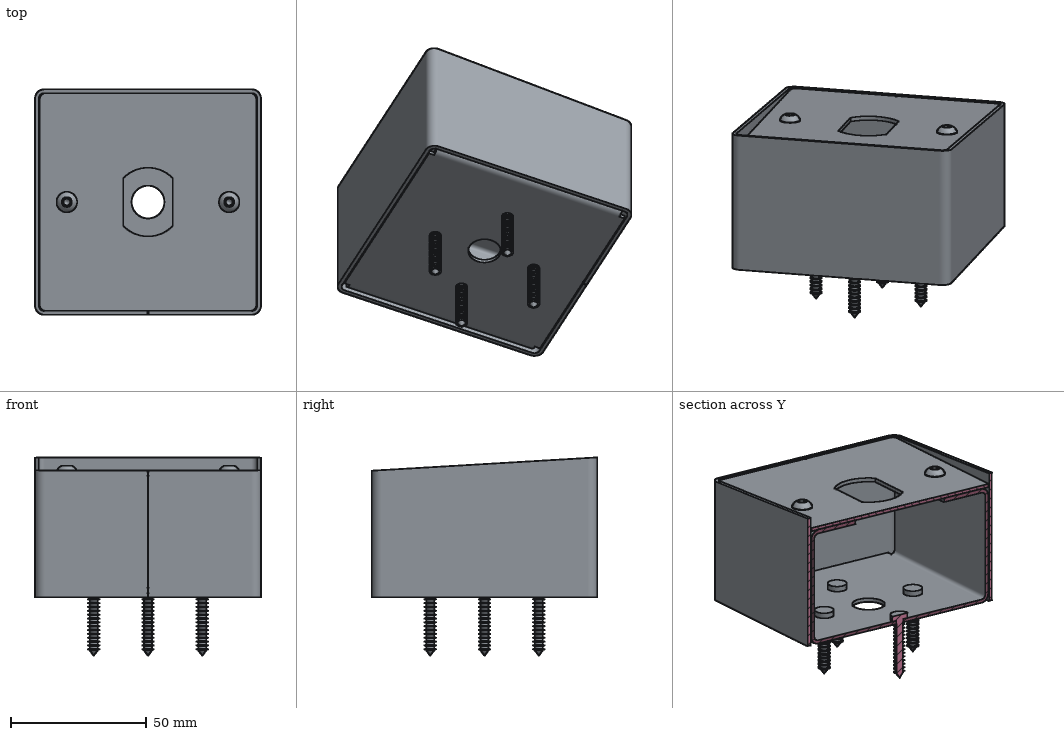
import cadquery as cq
import math

sheet = 1.5

sleeve_x = 83.5
sleeve_y = 83.3
sleeve_radius = 3.5
rear_height = 51.7
front_height = 46.8
seam_gap = 0.3

plate_x = 80.0
plate_top = 46.4
opening_width = 18.4
opening_diameter = 25.4

wall_length = 75.5
floor_length = 79.7
bend_radius = 1.5
cable_hole_diameter = 12.0

button_offset = 30.0
button_diameter = 7.6
button_height = 2.2
button_edge = 0.25
button_flat_diameter = 3.7
button_shank_diameter = 4.0
button_shank_length = 6.0
socket_width = 2.5
socket_depth = 1.0
socket_cone_depth = 0.7

wood_offset = 20.0
wood_core_diameter = 3.0
wood_thread_diameter = 4.35
wood_length = 21.6
wood_point_length = 2.1
wood_head_diameter = 7.0
wood_head_height = 2.0
thread_count = 14
thread_pitch = 1.4
thread_start = 0.75
thread_width = 0.5

inside_x = sleeve_x - 2 * sheet
inside_y = sleeve_y - 2 * sheet
inside_radius = sleeve_radius - sheet
plate_y = inside_y
plate_bottom = plate_top - sheet
bracket_x = plate_x
bracket_height = plate_bottom
outer_bend_radius = bend_radius + sheet
floor_width = bracket_x - 2 * outer_bend_radius
flange_length = 2 * (bracket_x / 2 - button_offset)
button_places = [(-button_offset, 0), (button_offset, 0)]
wood_places = [(wood_offset, 0), (0, wood_offset), (-wood_offset, 0), (0, -wood_offset)]


def block(size_x, size_y, height, bottom=0.0):
    """Plain block centred on the Z axis, standing at the given height."""
    return cq.Workplane("XY", origin=(0, 0, bottom)).rect(size_x, size_y).extrude(height)


def cylinders(places, diameter, height, bottom=0.0):
    """Upright cylinders at the given X, Y places."""
    return cq.Workplane("XY", origin=(0, 0, bottom)).pushPoints(places).circle(diameter / 2).extrude(height)


def button_holes():
    """Room for the shanks of the button-head screws."""
    shank_bottom = plate_top - button_shank_length
    return cylinders(button_places, button_shank_diameter, button_shank_length, shank_bottom)


def make_sleeve():
    """Band with a rim sloping down to the front and an open seam in the front wall."""
    band = block(sleeve_x, sleeve_y, rear_height).edges("|Z").fillet(sleeve_radius)
    inside = block(inside_x, inside_y, rear_height).edges("|Z").fillet(inside_radius)
    above_rim = (
        cq.Workplane("YZ")
        .moveTo(-sleeve_y / 2, front_height)
        .lineTo(sleeve_y / 2, rear_height)
        .lineTo(-sleeve_y / 2, rear_height)
        .close()
        .extrude(sleeve_x / 2, both=True)
    )
    seam = block(seam_gap, sheet, rear_height).translate((0, (sheet - sleeve_y) / 2, 0))
    return band.cut(inside).cut(above_rim).cut(seam)


def make_plate():
    """Flat cover with a flat-sided round opening and two screw holes."""
    plate = block(plate_x, plate_y, sheet, plate_bottom).edges("|Z").fillet(inside_radius)
    opening = cylinders([(0, 0)], opening_diameter, sheet, plate_bottom)
    opening = opening.intersect(block(opening_width, opening_diameter, sheet, plate_bottom))
    return plate.cut(opening).cut(button_holes())


def make_bracket():
    """Bent channel whose flat floor runs on past the walls at front and rear."""
    hollow_x = bracket_x - 2 * sheet
    hollow_height = bracket_height - 2 * sheet
    flange_gap = bracket_x - 2 * flange_length
    outside = block(bracket_x, wall_length, bracket_height).edges("|Y").fillet(outer_bend_radius)
    hollow = block(hollow_x, wall_length, hollow_height, sheet).edges("|Y").fillet(bend_radius)
    between_flanges = block(flange_gap, wall_length, bracket_height, sheet)
    floor = block(floor_width, floor_length, sheet)
    cable_hole = cylinders([(0, 0)], cable_hole_diameter, sheet)
    wood_holes = cylinders(wood_places, wood_core_diameter, sheet)
    channel = outside.cut(hollow).cut(between_flanges).union(floor)
    return channel.cut(cable_hole).cut(wood_holes).cut(button_holes())


def make_button_screw(place):
    """Domed screw with a hexagonal socket that ends in a drill point."""
    rim = button_diameter / 2
    flat = button_flat_diameter / 2
    shank = button_shank_diameter / 2
    dome = button_height - button_edge
    centre_below_band = (rim**2 - flat**2 - dome**2) / (2 * dome)
    dome_radius = math.hypot(rim, centre_below_band)
    middle = math.sqrt(dome_radius**2 - (centre_below_band + dome / 2) ** 2)
    screw = (
        cq.Workplane("XZ")
        .moveTo(0, -button_shank_length)
        .lineTo(shank, -button_shank_length)
        .lineTo(shank, 0)
        .lineTo(rim, 0)
        .lineTo(rim, button_edge)
        .threePointArc((middle, button_edge + dome / 2), (flat, button_height))
        .lineTo(0, button_height)
        .close()
        .revolve(360, (0, 0), (0, 1))
    )
    socket = (
        cq.Workplane("XY", origin=(0, 0, button_height))
        .polygon(6, socket_width, circumscribed=True)
        .extrude(-socket_depth)
    )
    socket_floor = cq.Vector(0, 0, button_height - socket_depth)
    downward = cq.Vector(0, 0, -1)
    drill_point = cq.Solid.makeCone(socket_width / 2, 0, socket_cone_depth, socket_floor, downward)
    return screw.cut(socket).cut(cq.Workplane(drill_point)).translate((*place, plate_top))


def make_wood_screw(place):
    """Ridged screw with a flat head on the floor and a conical point below."""
    core = wood_core_diameter / 2
    crest = wood_thread_diameter / 2
    head = wood_head_diameter / 2
    head_top = sheet + wood_head_height
    profile = (
        cq.Workplane("XZ")
        .moveTo(0, head_top)
        .lineTo(head, head_top)
        .lineTo(head, sheet)
        .lineTo(core, sheet)
    )
    for ridge in range(thread_count):
        crest_height = -thread_start - ridge * thread_pitch
        profile = (
            profile.lineTo(core, crest_height + thread_width / 2)
            .lineTo(crest, crest_height)
            .lineTo(core, crest_height - thread_width / 2)
        )
    screw = (
        profile.lineTo(core, wood_point_length - wood_length)
        .lineTo(0, -wood_length)
        .close()
        .revolve(360, (0, 0), (0, 1))
    )
    return screw.translate((*place, 0))


sleeve = make_sleeve()
plate = make_plate()
bracket = make_bracket()
button_screws = [make_button_screw(place) for place in button_places]
wood_screws = [make_wood_screw(place) for place in wood_places]

result = cq.Compound.makeCompound([
    sleeve.val(),
    plate.val(),
    bracket.val(),
    *[screw.val() for screw in button_screws],
    *[screw.val() for screw in wood_screws],
])